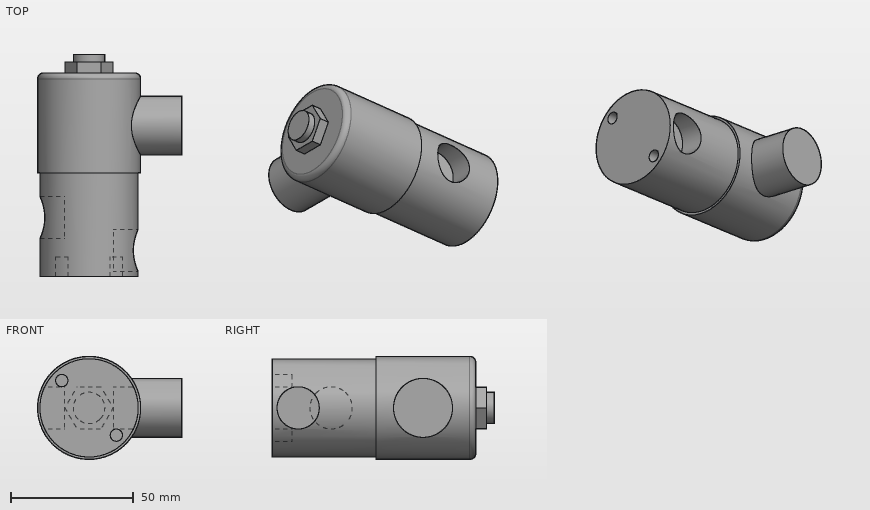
import cadquery as cq
import math


plug_diameter = 40.0
plug_length = 42.2
cross_hole_diameter = 17.2
cross_hole_floor = 10.0
left_hole_y = 24.0
right_hole_y = 10.6
pin_hole_diameter = 5.0
pin_hole_depth = 8.0
pin_hole_offset = 11.1

housing_diameter = 42.0
housing_length = 40.7
housing_edge_radius = 2.5
spigot_diameter = 24.0
spigot_y = 61.4
spigot_reach = 37.8

hex_across_flats = 17.0
hex_height = 4.4
stud_diameter = 12.8
overall_length = 90.43

housing_end = plug_length + housing_length
hex_end = housing_end + hex_height
stud_length = overall_length - hex_end
hex_across_corners = hex_across_flats / math.cos(math.radians(30))


def plane_along_y(y):
    """Plane at position y along the main axis, facing +Y, with its local x along +X."""
    return cq.Workplane(cq.Plane(origin=(0, y, 0), xDir=(1, 0, 0), normal=(0, 1, 0)))


def cross_hole(y, side):
    """Blind side hole cutter; side is +1 for +X and -1 for -X."""
    floor = cq.Plane(origin=(side * cross_hole_floor, y, 0), xDir=(0, 1, 0), normal=(side, 0, 0))
    return cq.Workplane(floor).circle(cross_hole_diameter / 2).extrude(plug_diameter / 2)


def make_plug():
    plug = plane_along_y(0).circle(plug_diameter / 2).extrude(plug_length)
    plug = plug.cut(cross_hole(left_hole_y, -1))
    plug = plug.cut(cross_hole(right_hole_y, 1))

    pin_places = [(side * pin_hole_offset, side * pin_hole_offset) for side in (-1, 1)]
    pin_holes = plane_along_y(0).pushPoints(pin_places).circle(pin_hole_diameter / 2).extrude(pin_hole_depth)
    return plug.cut(pin_holes)


def make_housing():
    housing = plane_along_y(plug_length).circle(housing_diameter / 2).extrude(housing_length)
    housing = housing.faces(">Y").edges().fillet(housing_edge_radius)

    spigot_plane = cq.Plane(origin=(0, spigot_y, 0), xDir=(0, 1, 0), normal=(1, 0, 0))
    spigot = cq.Workplane(spigot_plane).circle(spigot_diameter / 2).extrude(spigot_reach)

    hexagon = plane_along_y(housing_end).polygon(6, hex_across_corners).extrude(hex_height)
    stud = plane_along_y(hex_end).circle(stud_diameter / 2).extrude(stud_length)
    return housing.union(spigot).union(hexagon).union(stud)


plug = make_plug()
housing = make_housing()

result = cq.Compound.makeCompound([plug.val(), housing.val()])